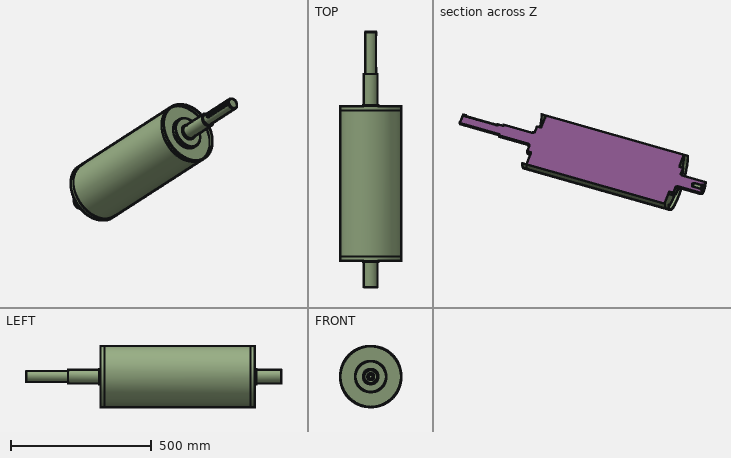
import cadquery as cq
import math

DRUM_DIAMETER = 219
DRUM_LENGTH = 550
RECESS_DIAMETER = 215
RECESS_DEPTH = 15

HUB_DIAMETER = 112
HUB_HEIGHT = 15
COLLAR_DIAMETER = 55
COLLAR_OVERHANG = 5

SHAFT_DIAMETER = 50
FRONT_SHAFT_LENGTH = 95
REAR_SHAFT_LENGTH = 115
DRIVE_DIAMETER = 40
DRIVE_LENGTH = 150

KEYWAY_WIDTH = 12
KEYWAY_DEPTH = 5
KEYWAY_LENGTH = 120
KEYWAY_END_GAP = 10

TAP_DIAMETER = 13.84
TAP_DEPTH = 40
RELIEF_DIAMETER = 17
RELIEF_DEPTH = 10
MOUTH_DIAMETER = 25
MOUTH_ANGLE = 60
DRILL_POINT_ANGLE = 120

HUB_CHAMFER = 2
FRONT_CHAMFER = 2
DRIVE_CHAMFER = 2

drum_rear = DRUM_LENGTH / 2
drum_front = -drum_rear
shaft_front = drum_front - FRONT_SHAFT_LENGTH
shoulder = drum_rear + REAR_SHAFT_LENGTH
drive_end = shoulder + DRIVE_LENGTH
plate_face = drum_rear - RECESS_DEPTH
hub_face = plate_face + HUB_HEIGHT
collar_face = drum_rear + COLLAR_OVERHANG


def cylinder(diameter, start, end):
    """Solid cylinder on the Y axis from y = start to y = end."""
    plane = cq.Plane(origin=(0, start, 0), xDir=(1, 0, 0), normal=(0, 1, 0))
    return cq.Workplane(plane).circle(diameter / 2).extrude(end - start)


def cone(diameter, angle, start):
    """Solid cone on the Y axis, with its base at y = start and its tip toward +Y."""
    radius = diameter / 2
    height = radius / math.tan(math.radians(angle / 2))
    base = cq.Vector(0, start, 0)
    return cq.Workplane(cq.Solid.makeCone(radius, 0, height, base, cq.Vector(0, 1, 0)))


def make_drum():
    """Tube with recessed end plates."""
    drum = cylinder(DRUM_DIAMETER, drum_front, drum_rear)
    drum = drum.cut(cylinder(RECESS_DIAMETER, drum_front, -plate_face))
    return drum.cut(cylinder(RECESS_DIAMETER, plate_face, drum_rear))


def make_shaft():
    """Hubs, collars, shaft and drive end, each running through the drum."""
    hubs = cylinder(HUB_DIAMETER, -hub_face, hub_face).edges().chamfer(HUB_CHAMFER)
    collars = cylinder(COLLAR_DIAMETER, -collar_face, collar_face)
    shaft = cylinder(SHAFT_DIAMETER, shaft_front, shoulder)
    shaft = shaft.edges("<Y").chamfer(FRONT_CHAMFER)
    drive = cylinder(DRIVE_DIAMETER, drum_rear, drive_end).edges(">Y").chamfer(DRIVE_CHAMFER)
    return hubs.union(collars).union(shaft).union(drive)


def make_keyway():
    """Round-ended keyway, cut inward from the +X side of the drive end."""
    floor = DRIVE_DIAMETER / 2 - KEYWAY_DEPTH
    middle = drive_end - KEYWAY_END_GAP - KEYWAY_LENGTH / 2
    return (
        cq.Workplane("YZ", origin=(floor, middle, 0))
        .slot2D(KEYWAY_LENGTH, KEYWAY_WIDTH)
        .extrude(DRIVE_DIAMETER)
    )


def make_centre_hole():
    """Blind centre hole: conical mouth, relief and drilled bore with a pointed end."""
    tap_end = shaft_front + TAP_DEPTH
    mouth = cone(MOUTH_DIAMETER, MOUTH_ANGLE, shaft_front)
    relief = cylinder(RELIEF_DIAMETER, shaft_front, shaft_front + RELIEF_DEPTH)
    tap = cylinder(TAP_DIAMETER, shaft_front, tap_end)
    drill_point = cone(TAP_DIAMETER, DRILL_POINT_ANGLE, tap_end)
    return mouth.union(relief).union(tap).union(drill_point)


result = make_drum().union(make_shaft()).cut(make_keyway()).cut(make_centre_hole())